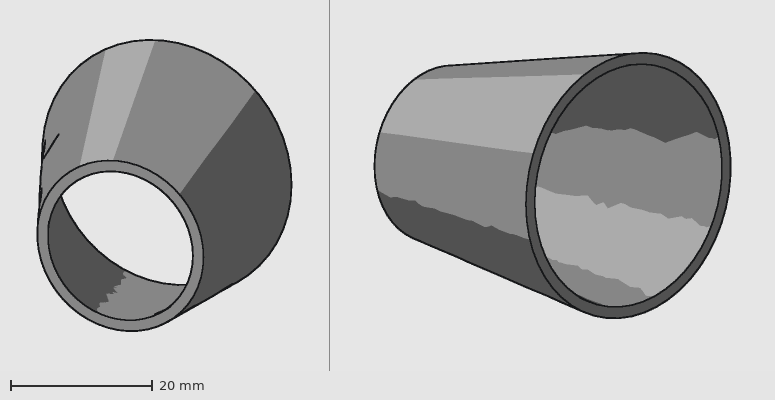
import cadquery as cq

large_diameter = 38.07
small_diameter = 25.4
length = 33.0
wall = 1.65

offset = (large_diameter - small_diameter) / 2


def oblique_cone(large_radius, small_radius):
    """Solid from the large circle at Y = 0 to the offset small circle at Y = -length."""
    return (
        cq.Workplane("XZ")
        .circle(large_radius)
        .workplane(offset=length)
        .center(offset, 0)
        .circle(small_radius)
        .loft(ruled=True)
    )


outer = oblique_cone(large_diameter / 2, small_diameter / 2)
bore = oblique_cone(large_diameter / 2 - wall, small_diameter / 2 - wall)

result = outer.cut(bore)